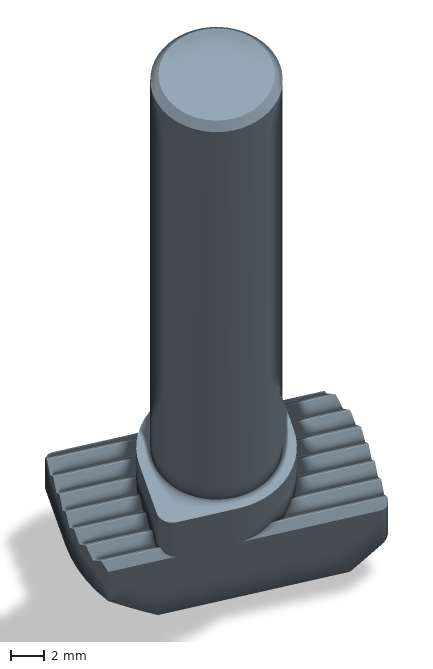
import cadquery as cq
import math

head_width = 9.7
head_length = 19.0
total_height = 45.8
neck_top = 8.8

bottom_chamfer = 2.5
head_corner_radius = 0.5
swing_radius = head_length / 2

crest_height = 5.9
groove_pitch = 1.39
groove_depth = 0.65
groove_floor = groove_pitch / 2 - groove_depth
groove_count = 8
first_groove_inset = 0.14

neck_corner_radius = 1.0
shank_diameter = 8.0
shank_chamfer = 0.5

half_width = head_width / 2
half_length = head_length / 2
root_height = crest_height - groove_depth
first_groove_x = -half_width + first_groove_inset


def quadrant_box(x_sign, y_sign):
    """Box filling one X/Y quadrant of the head up to the crests."""
    return (
        cq.Workplane("XY")
        .center(x_sign * half_width / 2, y_sign * half_length / 2)
        .rect(half_width, half_length)
        .extrude(crest_height)
    )


def swing_waste(x_sign, y_sign):
    """Material outside the turning circle in one quadrant of the head."""
    turning_disc = (
        cq.Workplane("XY")
        .circle(swing_radius)
        .extrude(crest_height)
        .faces("<Z")
        .chamfer(bottom_chamfer)
    )
    return quadrant_box(x_sign, y_sign).cut(turning_disc)


def serration_groove(x_centre):
    """V groove with a narrow flat floor, along the whole length of the head."""
    half_floor = groove_floor / 2
    half_mouth = half_floor + groove_depth
    return (
        cq.Workplane("XZ")
        .polyline([
            (x_centre - half_mouth, crest_height),
            (x_centre - half_floor, root_height),
            (x_centre + half_floor, root_height),
            (x_centre + half_mouth, crest_height),
        ])
        .close()
        .extrude(half_length, both=True)
    )


def make_head():
    """Serrated T-head with two opposite corners rounded to the turning circle."""
    head = (
        cq.Workplane("XY")
        .rect(head_width, head_length)
        .extrude(crest_height)
        .edges("|Z")
        .fillet(head_corner_radius)
    )
    bevelled_bar = (
        cq.Workplane("XY")
        .rect(head_width, head_length)
        .extrude(crest_height)
        .faces("<Z")
        .edges("|X")
        .chamfer(bottom_chamfer)
    )
    head = head.intersect(bevelled_bar)
    head = head.cut(swing_waste(-1, 1)).cut(swing_waste(1, -1))
    for index in range(groove_count):
        head = head.cut(serration_groove(first_groove_x + index * groove_pitch))
    return head


def make_neck():
    """Square neck with two opposite corners rounded to the full half width."""
    diagonal = half_width * math.sqrt(0.5)
    inset = half_width - neck_corner_radius
    inset_diagonal = inset + neck_corner_radius * math.sqrt(0.5)
    return (
        cq.Workplane("XY")
        .moveTo(0, half_width)
        .threePointArc((diagonal, diagonal), (half_width, 0))
        .lineTo(half_width, -inset)
        .threePointArc((inset_diagonal, -inset_diagonal), (inset, -half_width))
        .lineTo(0, -half_width)
        .threePointArc((-diagonal, -diagonal), (-half_width, 0))
        .lineTo(-half_width, inset)
        .threePointArc((-inset_diagonal, inset_diagonal), (-inset, half_width))
        .close()
        .extrude(neck_top - bottom_chamfer)
        .translate((0, 0, bottom_chamfer))
    )


def make_shank():
    """Round shank with a chamfered tip."""
    return (
        cq.Workplane("XY")
        .workplane(offset=neck_top)
        .circle(shank_diameter / 2)
        .extrude(total_height - neck_top)
        .faces(">Z")
        .chamfer(shank_chamfer)
    )


result = make_head().union(make_neck()).union(make_shank())